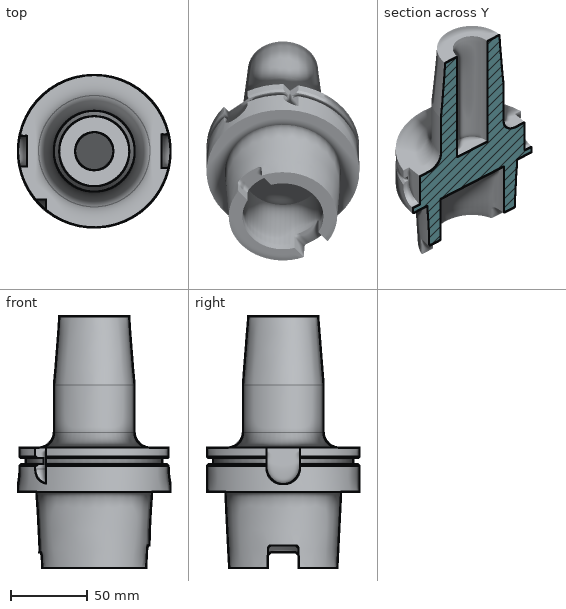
import cadquery as cq
import math

total_height = 165.0
shank_height = 50.0
flange_thickness = 29.0
flange_top = shank_height + flange_thickness

shank_top_radius = 38.0
shank_bottom_radius = 35.5
shank_bore_diameter = 53.0

flange_radius = 50.0
groove_floor_radius = 46.0
groove_floor_bottom_z = 68.25
groove_floor_top_z = 72.0
groove_lower_chamfer = 1.5
groove_upper_chamfer = 1.2

neck_radius = 26.5
neck_fillet = 10.0
nose_height = 45.0
nose_angle = 4.5
nose_tip_radius = neck_radius - nose_height * math.tan(math.radians(nose_angle))

tool_bore_diameter = 25.0
tool_bore_depth = total_height - flange_top

keyway_floor_x = 44.0
keyway_bottom_z = 55.0
left_keyway_width = 20.0
right_keyway_width = 22.0

notch_floor_x = 31.7
notch_wall_y = 31.7

drive_slot_width = 20.0
left_drive_slot_height = 10.3
right_drive_slot_height = 15.0
drive_slot_corner_radius = 2.5

overrun = 5.0


def make_body():
    """Turned outer shape, drawn as a half profile and revolved about Z."""
    fillet_offset = neck_fillet * (1 - math.sqrt(0.5))
    profile = (
        cq.Workplane("YZ")
        .moveTo(0, 0)
        .lineTo(shank_bottom_radius, 0)
        .lineTo(shank_top_radius, shank_height)
        .lineTo(flange_radius, shank_height)
        .lineTo(flange_radius, groove_floor_bottom_z - groove_lower_chamfer)
        .lineTo(flange_radius - groove_lower_chamfer, groove_floor_bottom_z)
        .lineTo(groove_floor_radius, groove_floor_bottom_z)
        .lineTo(groove_floor_radius, groove_floor_top_z)
        .lineTo(flange_radius - groove_upper_chamfer, groove_floor_top_z)
        .lineTo(flange_radius, groove_floor_top_z + groove_upper_chamfer)
        .lineTo(flange_radius, flange_top)
        .lineTo(neck_radius + neck_fillet, flange_top)
        .threePointArc(
            (neck_radius + fillet_offset, flange_top + fillet_offset),
            (neck_radius, flange_top + neck_fillet),
        )
        .lineTo(neck_radius, total_height - nose_height)
        .lineTo(nose_tip_radius, total_height)
        .lineTo(0, total_height)
        .close()
    )
    return profile.revolve(360, (0, 0, 0), (0, 1, 0))


def make_bore(diameter, start_z, depth):
    """Cylinder on the Z axis, rising from start_z."""
    return cq.Workplane("XY").workplane(offset=start_z).circle(diameter / 2).extrude(depth)


def make_keyway(side, floor_x, center_y, width):
    """Round-bottomed slot running out along X; side is -1 for -X and +1 for +X."""
    radius = width / 2
    center_z = keyway_bottom_z + radius
    top_z = flange_top + overrun
    length = flange_radius + overrun - floor_x
    return (
        cq.Workplane("YZ")
        .workplane(offset=side * floor_x)
        .moveTo(center_y - radius, top_z)
        .lineTo(center_y - radius, center_z)
        .threePointArc((center_y, keyway_bottom_z), (center_y + radius, center_z))
        .lineTo(center_y + radius, top_z)
        .close()
        .extrude(side * length)
    )


def make_drive_slot(side, height):
    """Slot through one wall of the hollow shank, with rounded upper corners."""
    length = shank_top_radius + overrun
    return (
        cq.Workplane("XY")
        .box(length, drive_slot_width, height + overrun, centered=(True, True, False))
        .edges("|X and >Z")
        .fillet(drive_slot_corner_radius)
        .translate((side * length / 2, 0, -overrun))
    )


notch_width = left_keyway_width
notch_center_y = -(notch_wall_y + notch_width / 2)

result = (
    make_body()
    .cut(make_bore(tool_bore_diameter, total_height - tool_bore_depth, tool_bore_depth))
    .cut(make_bore(shank_bore_diameter, 0, shank_height))
    .cut(make_keyway(-1, keyway_floor_x, 0, left_keyway_width))
    .cut(make_keyway(1, keyway_floor_x, 0, right_keyway_width))
    .cut(make_keyway(-1, notch_floor_x, notch_center_y, notch_width))
    .cut(make_drive_slot(-1, left_drive_slot_height))
    .cut(make_drive_slot(1, right_drive_slot_height))
)